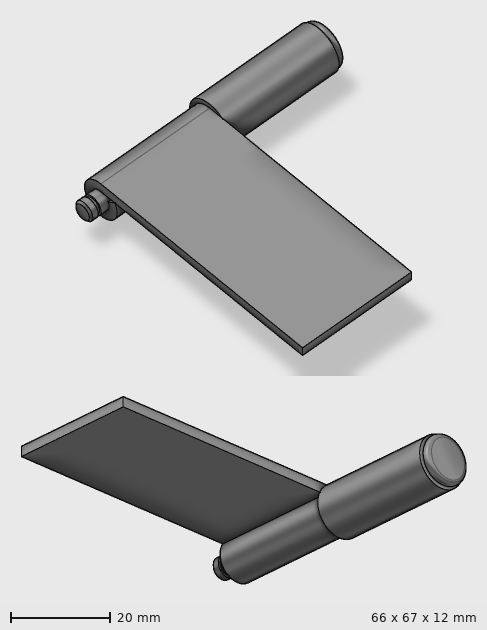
import cadquery as cq
import math


pin_radius = 2.5
pin_overhang = 5.0
pin_end_chamfer = 0.5
groove_offset = 2.2
groove_width = 0.8
groove_depth = 0.5
head_radius = 5.6
head_height = 2.0

barrel_radius = 6.0
barrel_length = 30.0

leaf_length = 30.0
leaf_reach = 60.0
leaf_thickness = 2.35
curl_end_angle = math.radians(30.0)

curl_radius = pin_radius + leaf_thickness
pin_end_y = -leaf_length - pin_overhang


def cylinder(radius, start_y, end_y):
    """Solid cylinder on the hinge axis between two Y positions."""
    plane = cq.Workplane("XZ", origin=(0, end_y, 0))
    return plane.circle(radius).extrude(end_y - start_y)


def make_leaf():
    """Flat plate whose edge is rolled around the pin, ending just under the plate."""
    end_cos = math.cos(curl_end_angle)
    end_sin = math.sin(curl_end_angle)
    middle_angle = (math.pi / 2 + curl_end_angle) / 2 + math.pi
    middle_cos = math.cos(middle_angle)
    middle_sin = math.sin(middle_angle)
    return (
        cq.Workplane("XZ")
        .moveTo(leaf_reach, curl_radius)
        .lineTo(0, curl_radius)
        .threePointArc(
            (curl_radius * middle_cos, curl_radius * middle_sin),
            (curl_radius * end_cos, curl_radius * end_sin),
        )
        .lineTo(pin_radius * end_cos, pin_radius * end_sin)
        .threePointArc(
            (pin_radius * middle_cos, pin_radius * middle_sin),
            (0, pin_radius),
        )
        .lineTo(leaf_reach, pin_radius)
        .close()
        .extrude(leaf_length)
    )


def make_barrel():
    """Plain sleeve with a bore for the pin."""
    bore = cylinder(pin_radius, 0, barrel_length)
    return cylinder(barrel_radius, 0, barrel_length).cut(bore)


def make_pin():
    """Shank with a fully round-edged head on the barrel and a retaining groove past the leaf."""
    shank = cylinder(pin_radius, pin_end_y, barrel_length)
    shank = shank.faces("<Y").chamfer(pin_end_chamfer)

    groove_start_y = -leaf_length - groove_offset
    groove_end_y = groove_start_y - groove_width
    groove = cylinder(pin_radius, groove_end_y, groove_start_y).cut(
        cylinder(pin_radius - groove_depth, groove_end_y, groove_start_y)
    )

    head_end_y = barrel_length + head_height
    head_face_radius = head_radius - head_height / 2
    head = (
        cq.Workplane("XY")
        .moveTo(0, barrel_length)
        .lineTo(head_face_radius, barrel_length)
        .threePointArc(
            (head_radius, barrel_length + head_height / 2),
            (head_face_radius, head_end_y),
        )
        .lineTo(0, head_end_y)
        .close()
        .revolve(360, (0, 0), (0, 1))
    )
    return shank.cut(groove).union(head)


leaf = make_leaf()
barrel = make_barrel()
pin = make_pin()

result = cq.Compound.makeCompound([leaf.val(), barrel.val(), pin.val()])